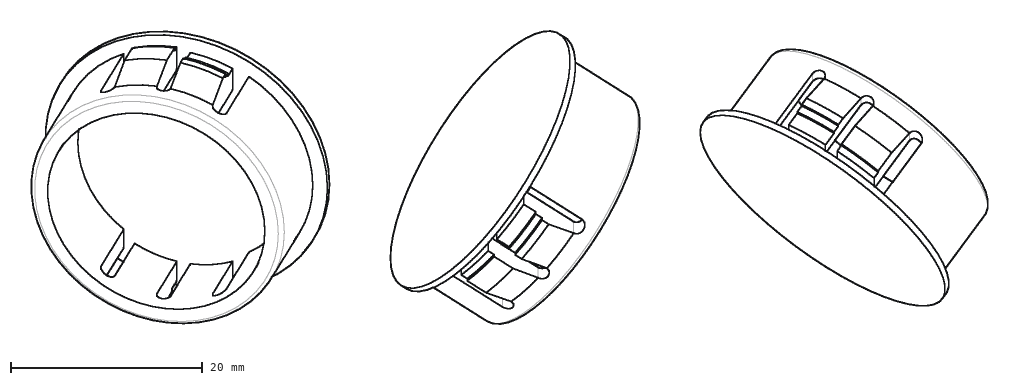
import cadquery as cq

flange_radius = 15.5
flange_thickness = 0.7
dome_height = 0.9
sleeve_length = 9.9
sleeve_radius = 13.9
bore_radius = 11.95
rim_fillet = 0.5

slot_width = 1.5
slot_depth = 8.12
tab_width = 4.65
tab_gap = 0.9
tab_radius = 15.1
step_height = 0.37
step_starts = (1.67, 2.48, 3.3)
ramp_start = 4.15
ramp_end = 7.45
tab_offset = (slot_width + tab_width) / 2
slot_pitch = slot_width + tab_width
window_width = 3 * slot_width + 2 * tab_width


def revolve_about_y(profile):
    """Turn a closed profile of (radius, Y) about the part axis."""
    return profile.close().revolve(360, (0, 0, 0), (0, 1, 0))


def cap():
    """Flange disc with a shallow spherical dome on top."""
    dome_radius = (flange_radius**2 + dome_height**2) / (2 * dome_height)
    apex = flange_thickness + dome_height
    middle_radius = flange_radius / 2
    middle_y = apex - dome_radius + (dome_radius**2 - middle_radius**2) ** 0.5
    profile = (
        cq.Workplane("XY")
        .lineTo(flange_radius, 0)
        .lineTo(flange_radius, flange_thickness)
        .threePointArc((middle_radius, middle_y), (0, apex))
    )
    return revolve_about_y(profile)


def sleeve():
    """Plain tube with a rounded outer rim at its open end."""
    tube = cq.Workplane("XZ").circle(sleeve_radius).extrude(sleeve_length)
    tube = tube.faces("<Y").edges().fillet(rim_fillet)
    bore = cq.Workplane("XZ").circle(bore_radius).extrude(sleeve_length)
    return tube.cut(bore)


def side_block(center_x, width, start, end):
    """Block on the +Z side spanning the given distances below the flange."""
    return (
        cq.Workplane("XY")
        .center(center_x, -(start + end) / 2)
        .rect(width, end - start)
        .extrude(flange_radius)
    )


def window():
    """Opening on the +Z side: a gap under the flange and three round-ended slots."""
    opening = side_block(0, window_width, 0, tab_gap)
    slot_end = slot_depth - slot_width / 2
    for center_x in (-slot_pitch, 0, slot_pitch):
        opening = opening.union(side_block(center_x, slot_width, 0, slot_end))
        tip = cq.Workplane("XY").center(center_x, -slot_end).circle(slot_width / 2)
        opening = opening.union(tip.extrude(flange_radius))
    return opening


def snap_tab(center_x, steps):
    """Stepped and ramped tab on the +Z side; steps rise away from the flange."""
    radius = tab_radius - step_height * len(steps)
    profile = cq.Workplane("XY").moveTo(bore_radius, -tab_gap).lineTo(radius, -tab_gap)
    for start in steps:
        profile = profile.lineTo(radius, -start)
        radius += step_height
        profile = profile.lineTo(radius, -start)
    profile = (
        profile.lineTo(tab_radius, -ramp_start)
        .lineTo(sleeve_radius, -ramp_end)
        .lineTo(bore_radius, -ramp_end)
    )
    return revolve_about_y(profile).intersect(side_block(center_x, tab_width, tab_gap, ramp_end))


tab_pair = snap_tab(-tab_offset, step_starts[:1]).union(snap_tab(tab_offset, step_starts[1:]))

result = cap().union(sleeve())
for turn in (0, 180):
    result = result.cut(window().rotate((0, 0, 0), (0, 1, 0), turn))
    result = result.union(tab_pair.rotate((0, 0, 0), (0, 1, 0), turn))